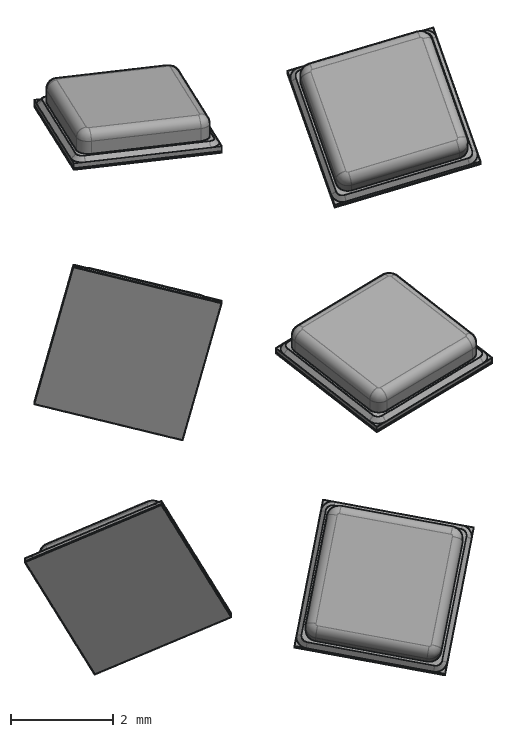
import cadquery as cq
import math

side = 3.0
total_height = 0.71

sheet_height = 0.04

plate_top = 0.14
flange_top = 0.235
flange_corner_radius = 0.23
flange_bevel_width = 0.1
cap_inset = 0.15
cap_corner_radius = 0.24
cap_edge_fillet = 0.2

plate_height = plate_top - sheet_height
flange_height = flange_top - plate_top
flange_taper = math.degrees(math.atan(flange_bevel_width / flange_height))
cap_side = side - 2 * cap_inset
cap_height = total_height - flange_top


def square_slab(bottom, height):
    """Sharp-cornered square layer as wide as the whole part."""
    return cq.Workplane("XY").workplane(offset=bottom).rect(side, side).extrude(height)


def make_flange():
    """Rounded square on the plate, with sides sloping inwards all around."""
    outline = cq.Sketch().rect(side, side).vertices().fillet(flange_corner_radius)
    base = cq.Workplane("XY").workplane(offset=plate_top)
    return base.placeSketch(outline).extrude(flange_height, taper=flange_taper)


def make_cap():
    """Rounded square cap with a filleted top edge."""
    base = cq.Workplane("XY").workplane(offset=flange_top)
    block = base.rect(cap_side, cap_side).extrude(cap_height)
    block = block.edges("|Z").fillet(cap_corner_radius)
    return block.faces(">Z").edges().fillet(cap_edge_fillet)


def make_package():
    """Plate, flange and cap joined into one solid."""
    plate = square_slab(sheet_height, plate_height)
    return plate.union(make_flange()).union(make_cap())


base_sheet = square_slab(0, sheet_height)
package = make_package()

result = cq.Compound.makeCompound([base_sheet.val(), package.solids().val()])